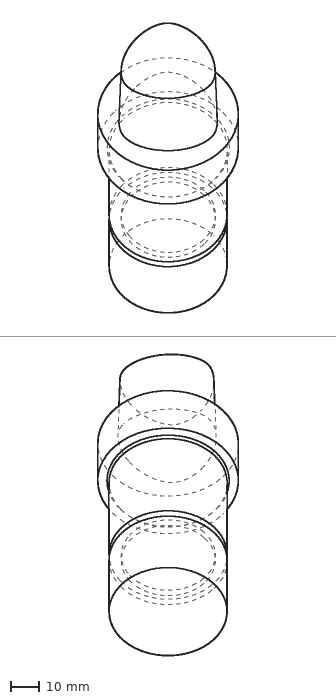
import cadquery as cq
import math

body_diameter = 42.0
nut_height = 27.5

neck_diameter = 33.5
neck_height = 2.9
cone_top_diameter = 43.5
cone_height = 1.1
collar_diameter = 50.0
collar_height = 20.0

total_height = 120.0
shank_height = 30.0
shank_top_diameter = 33.5
shank_taper = 1 / 20
lobe_eccentricity = 1.14
outline_steps = 48

neck_top = nut_height + neck_height
collar_top = total_height - shank_height
collar_bottom = collar_top - collar_height
cone_bottom = collar_bottom - cone_height
shank_base_diameter = shank_top_diameter + shank_taper * shank_height


def make_lobed_wire(mean_diameter, z):
    """Rounded three-lobed outline of constant width, with one lobe toward -Y."""
    radius = mean_diameter / 2
    e = lobe_eccentricity

    def outline_point(step):
        angle = 2 * math.pi * step / outline_steps
        along_lobe = radius * math.cos(angle) - 2 * e * math.cos(2 * angle) + e * math.cos(4 * angle)
        across_lobe = radius * math.sin(angle) + 2 * e * math.sin(2 * angle) + e * math.sin(4 * angle)
        return cq.Vector(across_lobe, along_lobe, z)

    points = [outline_point(step) for step in range(outline_steps)]
    outline = cq.Edge.makeSpline(points, periodic=True)
    return cq.Wire.assembleEdges([outline])


def make_shank():
    base = make_lobed_wire(shank_base_diameter, collar_top)
    top = make_lobed_wire(shank_top_diameter, total_height)
    return cq.Workplane(cq.Solid.makeLoft([base, top], True))


def make_holder():
    """Turned neck, body, cone and collar carrying the lobed shank."""
    profile = [
        (0, nut_height),
        (neck_diameter / 2, nut_height),
        (neck_diameter / 2, neck_top),
        (body_diameter / 2, neck_top),
        (body_diameter / 2, cone_bottom),
        (cone_top_diameter / 2, collar_bottom),
        (collar_diameter / 2, collar_bottom),
        (collar_diameter / 2, collar_top),
        (0, collar_top),
    ]
    turned = cq.Workplane("XZ").polyline(profile).close().revolve(360, (0, 0), (0, 1))
    return turned.union(make_shank())


def make_nut():
    return cq.Workplane("XY").circle(body_diameter / 2).extrude(nut_height)


holder = make_holder()
nut = make_nut()

result = cq.Compound.makeCompound([holder.solids().val(), nut.val()])